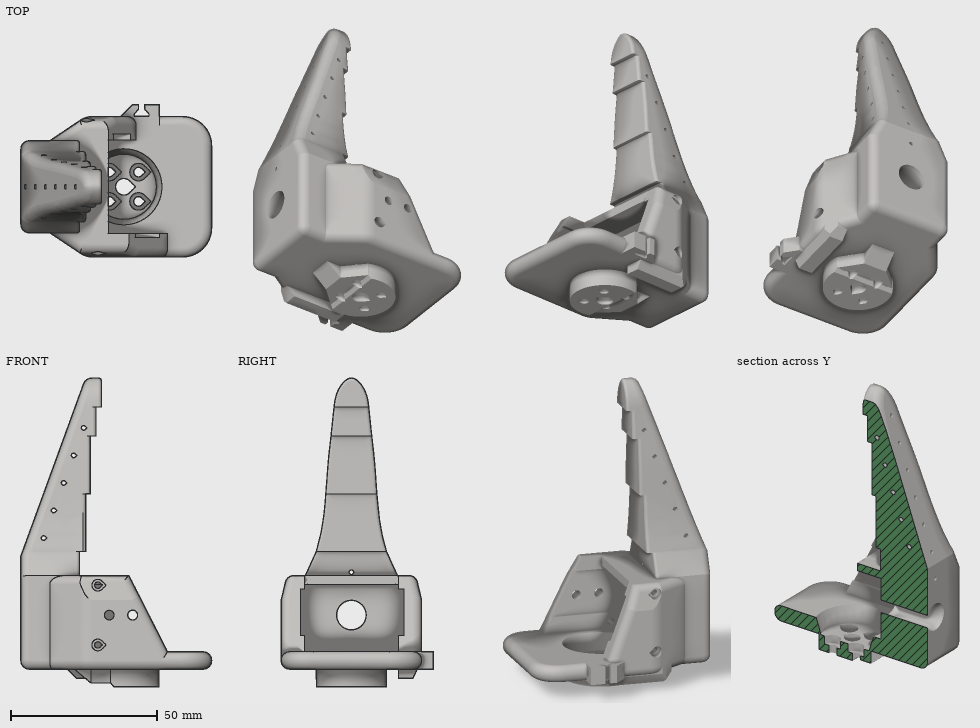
import cadquery as cq
import math

OVERLAP = 1.0
NEAR = 0.1
MIN_RISE = 0.5

LENGTH = 65.2
HALF_WIDTH = 24.0
PLATE_T = 6.0
ROOF_Z = 32.0
EDGE_R = 3.0
BULLNOSE_R = EDGE_R - 0.01
CORNER_R = 10.0
FLARE_R = 7.5
FLARE_START_X = 10.3
FLARE_START_Y = 16.0
FLARE_END_X = 22.3
LEAN_Z = 23.6
LEAN_INSET = 2.0
WALL_EDGE_R = EDGE_R

CAVITY_HALF = 16.0
CAVITY_X = 20.0
ROOF_T = 3.0
ROOF_END_X = 29.9
NEAR_SLOPE_TOP_X = 36.9
NEAR_SLOPE_FOOT_X = 50.1
FAR_SLOPE_FOOT_X = 39.4

TOWER_HALF = 15.75
TOWER_TOP_Z = 99.43
NECK_HALF = 12.0
NECK_Z = 40.2
TAPER_POINTS = [(9.5, 51.8), (7.95, 70.8), (6.1, 87.9), (4.4, 95.5)]
SLANT_START_Z = 38.6
SLANT_ANGLE = 20.0
STEP_Z = [NECK_Z, 59.9, 79.6, 89.5]
STEP_X = [20.1, 22.2, 23.75, 25.7, 27.6]
BACK_R = 1.0

BORE_D = 10.0
AXIS_Z = 18.5
SMALL_R = 0.75
GUIDE_Z = 33.1
HOLE_PITCH = 10.0
CROSS_COUNT = 5
CROSS_X, CROSS_Z = 7.8, 44.8
FACE_COUNT = 6
FACE_Z = 42.8
FACE_DEPTH = 5.0

SCREW_SPACING = 20.4
NEAR_SCREW_X = 26.3
FAR_SCREW_X = 22.4
SCREW_R, SCREW_HEAD_R = 1.1, 2.0
HEAD_SEAT_Y = 21.0
WALL_HOLE_R = 1.65
WALL_HOLE_XS = (30.2, 38.2)
POCKET_Z0, POCKET_Z1 = 11.5, 27.4
NEAR_POCKET_END_X, NEAR_POCKET_DEPTH = 47.3, 1.3
FAR_POCKET_END_X, FAR_POCKET_DEPTH = 38.0, 2.0

HUB_X, HUB_R = 35.2, 12.0
HUB_BOTTOM_Z = -6.0
RECESS_TOP_R, RECESS_FLOOR_R = 13.0, 11.1
HUB_CENTRE_R = 2.8
BOLT_OFFSET = 5.0
BOLT_R, BOLT_HEAD_R, BOLT_HEAD_DEPTH = 1.6, 3.0, 3.0
HOUSING_Z = -4.7
HOUSING_X = 23.9
HOUSING_FACET_HALF = 4.3
HOUSING_FACET_RUN = 6.8
RAMP_X = 18.4
HUB_CUT_X = 31.8

CLIP_Y = 28.0
CLIP_X0, CLIP_X1 = 34.1, 47.3
CLIP_INNER_Y = 20.8
SLOT_X = 41.25
NECK_W, SLOT_W = 1.0, 2.45
SLOT_FLOOR_Y, SLOT_SHOULDER_Y, SLOT_NECK_Y = 24.1, 24.9, 26.5
RIB_Z = -3.1
RIB_X0, RIB_RAMP_X, RIB_X1 = 15.9, 19.0, FAR_SLOPE_FOOT_X
RIB_Y0, RIB_Y1, RIB_Y1_LOW = 16.0, 22.5, 21.0


def xz_prism(points, y0, y1):
    """Polygon of (x, z) points extruded from y0 to y1."""
    return cq.Workplane("XZ", origin=(0, y0, 0)).polyline(points).close().extrude(-(y1 - y0))


def box(x0, x1, y0, y1, z0, z1):
    return cq.Workplane("XY").box(x1 - x0, y1 - y0, z1 - z0, centered=False).translate((x0, y0, z0))


def teardrop(plane, radius, depth):
    """Cylinder with a 45 degree peak along the local x of the plane."""
    half = radius * math.sqrt(0.5)
    return (
        plane.moveTo(half, half)
        .threePointArc((-radius, 0), (half, -half))
        .lineTo(radius * math.sqrt(2), 0)
        .close()
        .extrude(depth)
    )


def plan_block(height):
    """Plan outline without the tower, extruded up from the bottom face."""
    flare_slope = (HALF_WIDTH - FLARE_START_Y) / (FLARE_END_X - FLARE_START_X)
    start_y = FLARE_START_Y - flare_slope * (FLARE_START_X - EDGE_R)
    right = [(EDGE_R, -start_y), (FLARE_END_X, -HALF_WIDTH), (LENGTH, -HALF_WIDTH)]
    left = [(x, -y) for x, y in reversed(right)]
    block = cq.Workplane("XY").polyline(right + left).close().extrude(height)
    for x, radius in ((FLARE_END_X, FLARE_R), (LENGTH, CORNER_R)):
        near_x = cq.selectors.BoxSelector(
            (x - NEAR, -HALF_WIDTH - NEAR, 0), (x + NEAR, HALF_WIDTH + NEAR, height)
        )
        block = block.edges("|Z").edges(near_x).fillet(radius)
    return block


def round_bottom(body):
    """Round the bottom rim, except where it is buried in the tower."""
    return body.faces("<Z").edges("not <X").fillet(BULLNOSE_R)


def make_plate():
    """Base plate with a full round rim."""
    return round_bottom(plan_block(PLATE_T)).faces(">Z").edges("not <X").fillet(BULLNOSE_R)


def make_wall(side, slope_top_x, slope_foot_x):
    """Half of the roofed body on one side, cut by its sloping end."""
    slope = (slope_foot_x - slope_top_x) / (ROOF_Z - PLATE_T)
    end_x = slope_foot_x + slope * PLATE_T
    profile = [
        (EDGE_R, 0),
        (end_x, 0),
        (slope_top_x, ROOF_Z),
        (EDGE_R, ROOF_Z),
    ]
    y0, y1 = sorted((0, side * (HALF_WIDTH + OVERLAP)))
    wall = plan_block(ROOF_Z).intersect(xz_prism(profile, y0, y1))
    lean = [
        (side * HALF_WIDTH, LEAN_Z),
        (side * (HALF_WIDTH - LEAN_INSET), ROOF_Z),
        (side * (HALF_WIDTH + OVERLAP), ROOF_Z),
        (side * (HALF_WIDTH + OVERLAP), LEAN_Z),
    ]
    wall = wall.cut(cq.Workplane("YZ").polyline(lean).close().extrude(LENGTH))
    y0, y1 = sorted((side * FLARE_START_Y, side * (HALF_WIDTH + OVERLAP)))
    top = cq.selectors.BoxSelector(
        (EDGE_R + NEAR, y0, ROOF_Z - NEAR), (slope_top_x - NEAR, y1, ROOF_Z + NEAR)
    )
    slope_edges = cq.selectors.BoxSelector(
        (slope_top_x + NEAR, y0, NEAR), (end_x - NEAR, y1, ROOF_Z - NEAR)
    )
    wall = wall.edges(top + slope_edges).fillet(WALL_EDGE_R)
    return wall.intersect(round_bottom(plan_block(ROOF_Z)))


def make_tower():
    """Tapering tower with a slanted front and a stepped back."""
    taper = TAPER_POINTS + [(0, TOWER_TOP_Z)]
    taper += [(-y, z) for y, z in reversed(TAPER_POINTS)]
    front = (
        cq.Workplane("YZ")
        .moveTo(-TOWER_HALF, 0)
        .lineTo(TOWER_HALF, 0)
        .lineTo(TOWER_HALF, ROOF_Z)
        .lineTo(NECK_HALF, NECK_Z)
        .spline(taper + [(-NECK_HALF, NECK_Z)], includeCurrent=True)
        .lineTo(-TOWER_HALF, ROOF_Z)
        .close()
        .extrude(STEP_X[-1])
    )
    rise = TOWER_TOP_Z - SLANT_START_Z
    profile = [(rise * math.tan(math.radians(SLANT_ANGLE)), TOWER_TOP_Z), (0, SLANT_START_Z), (0, 0)]
    levels = list(zip(STEP_X, [0] + STEP_Z, STEP_Z + [TOWER_TOP_Z]))
    for x, z0, z1 in levels:
        profile += [(x, z0), (x, z1)]
    tower = front.intersect(xz_prism(profile, -HALF_WIDTH, HALF_WIDTH))
    slanted = [face for face in tower.faces().vals() if face.normalAt().x < -0.5]
    front_edges = [
        edge
        for face in slanted
        for edge in face.Edges()
        if edge.BoundingBox().zlen > MIN_RISE
    ]
    tower = tower.newObject(front_edges).fillet(EDGE_R)
    for x, z0, z1 in reversed(levels):
        level = cq.selectors.BoxSelector(
            (x - NEAR, -TOWER_HALF - OVERLAP, z0 + NEAR), (x + NEAR, TOWER_HALF + OVERLAP, z1 + NEAR)
        )
        level_edges = [
            edge
            for edge in tower.edges(level).vals()
            if edge.BoundingBox().zlen > MIN_RISE
        ]
        tower = tower.newObject(level_edges).fillet(BACK_R)
    return tower.faces("<Z").edges("not >X").fillet(BULLNOSE_R)


def tower_holes():
    """Bore and guide hole along X, cross holes along Y, blind holes into the slanted face."""
    bore = cq.Workplane("YZ", origin=(0, 0, AXIS_Z)).circle(BORE_D / 2).extrude(CAVITY_X + OVERLAP)
    guide = cq.Workplane("YZ", origin=(0, 0, GUIDE_Z)).circle(SMALL_R).extrude(STEP_X[0] + OVERLAP)
    holes = bore.union(guide)
    angle = math.radians(SLANT_ANGLE)
    step_x = HOLE_PITCH * math.sin(angle)
    step_z = HOLE_PITCH * math.cos(angle)
    for i in range(CROSS_COUNT):
        start = (CROSS_X + i * step_x, -TOWER_HALF, CROSS_Z + i * step_z)
        plane = cq.Plane(origin=start, xDir=(1, 0, 0), normal=(0, 1, 0))
        holes = holes.union(teardrop(cq.Workplane(plane), SMALL_R, 2 * TOWER_HALF))
    inward = (math.cos(angle), 0, -math.sin(angle))
    for i in range(FACE_COUNT):
        z = FACE_Z + i * step_z
        start = ((z - SLANT_START_Z) * math.tan(angle), 0, z)
        plane = cq.Plane(origin=start, xDir=(0, 1, 0), normal=inward)
        holes = holes.union(cq.Workplane(plane).circle(SMALL_R).extrude(FACE_DEPTH))
    return holes


def cavity():
    """Space between the walls, roofed up to the roof end and open beyond it."""
    roofed = box(CAVITY_X, LENGTH, -CAVITY_HALF, CAVITY_HALF, PLATE_T, ROOF_Z - ROOF_T)
    return roofed.union(box(ROOF_END_X, LENGTH, -CAVITY_HALF, CAVITY_HALF, PLATE_T, ROOF_Z + OVERLAP))


def wall_screws(side, x):
    """Counterbored teardrop screw holes through one wall."""
    holes = cq.Workplane("XY")
    for z in (AXIS_Z - SCREW_SPACING / 2, AXIS_Z + SCREW_SPACING / 2):
        for radius, start_y in ((SCREW_R, CAVITY_HALF - OVERLAP), (SCREW_HEAD_R, HEAD_SEAT_Y)):
            plane = cq.Plane(origin=(x, side * start_y, z), xDir=(1, 0, 0), normal=(0, side, 0))
            holes = holes.union(teardrop(cq.Workplane(plane), radius, HALF_WIDTH + OVERLAP - start_y))
    return holes


def wall_pockets():
    """Shallow recesses in the inner wall faces, opening onto the slopes."""
    near = box(CAVITY_X, NEAR_POCKET_END_X, -CAVITY_HALF - NEAR_POCKET_DEPTH, 0, POCKET_Z0, POCKET_Z1)
    far = box(CAVITY_X, FAR_POCKET_END_X, 0, CAVITY_HALF + FAR_POCKET_DEPTH, POCKET_Z0, POCKET_Z1)
    return near.union(far)


def wall_cross_holes():
    """Round holes through the -Y wall."""
    return (
        cq.Workplane("XZ", origin=(0, -CAVITY_HALF + OVERLAP, AXIS_Z))
        .pushPoints([(x, 0) for x in WALL_HOLE_XS])
        .circle(WALL_HOLE_R)
        .extrude(HALF_WIDTH)
    )


def make_hub():
    """Round boss below the plate with a faceted housing and a ramp beside it."""
    facet_x = HOUSING_X + HOUSING_FACET_RUN
    facet_y = HOUSING_FACET_HALF + HOUSING_FACET_RUN
    boss = cq.Workplane("XY", origin=(HUB_X, 0, HUB_BOTTOM_Z)).circle(HUB_R).extrude(-HUB_BOTTOM_Z + OVERLAP)
    undercut = [
        (0, 0),
        (facet_x, 0),
        (facet_x, HOUSING_Z),
        (HUB_CUT_X, HUB_BOTTOM_Z),
        (0, HUB_BOTTOM_Z),
    ]
    boss = boss.cut(xz_prism(undercut, -HALF_WIDTH, HALF_WIDTH))
    plan = [
        (HOUSING_X, -HOUSING_FACET_HALF),
        (facet_x, -facet_y),
        (HUB_X, -facet_y),
        (HUB_X, facet_y),
        (facet_x, facet_y),
        (HOUSING_X, HOUSING_FACET_HALF),
    ]
    housing = (
        cq.Workplane("XY", origin=(0, 0, HOUSING_Z)).polyline(plan).close().extrude(-HOUSING_Z + OVERLAP)
    )
    ramp_side = [
        (RAMP_X, 0),
        (HOUSING_X, HOUSING_Z),
        (HUB_X, HOUSING_Z),
        (HUB_X, OVERLAP),
        (RAMP_X, OVERLAP),
    ]
    ramp = xz_prism(ramp_side, -HOUSING_FACET_HALF, HOUSING_FACET_HALF)
    return boss.union(housing).union(ramp)


def hub_openings():
    """Flared recess in the plate, with bolt holes and a centre hole in its floor."""
    recess = (
        cq.Workplane("XY", origin=(HUB_X, 0, 0))
        .circle(RECESS_FLOOR_R)
        .workplane(offset=PLATE_T)
        .circle(RECESS_TOP_R)
        .loft()
    )
    depth = -HUB_BOTTOM_Z + OVERLAP
    centre = cq.Workplane("XY", origin=(HUB_X, 0, -depth))
    openings = recess.union(teardrop(centre, HUB_CENTRE_R, depth))
    for dx in (-BOLT_OFFSET, BOLT_OFFSET):
        for y in (-BOLT_OFFSET, BOLT_OFFSET):
            shank = cq.Workplane("XY", origin=(HUB_X + dx, y, -depth))
            head = cq.Workplane("XY", origin=(HUB_X + dx, y, -BOLT_HEAD_DEPTH))
            openings = openings.union(teardrop(shank, BOLT_R, depth))
            openings = openings.union(teardrop(head, BOLT_HEAD_R, BOLT_HEAD_DEPTH))
    return openings


def make_clip():
    """Square-edged lug beyond the +Y edge, slotted for a cord, with a rib below."""
    lug_reach = CLIP_Y - HALF_WIDTH
    outline = [
        (CLIP_X0, CLIP_INNER_Y),
        (CLIP_X0, HALF_WIDTH),
        (CLIP_X0 + lug_reach, CLIP_Y),
        (CLIP_X1, CLIP_Y),
        (CLIP_X1, CLIP_INNER_Y),
    ]
    lug = cq.Workplane("XY").polyline(outline).close().extrude(PLATE_T)
    half_slot = [
        (SLOT_W, SLOT_FLOOR_Y),
        (SLOT_W, SLOT_SHOULDER_Y),
        (NECK_W, SLOT_NECK_Y),
        (NECK_W, CLIP_Y + OVERLAP),
    ]
    slot = [(SLOT_X + dx, y) for dx, y in half_slot]
    slot += [(SLOT_X - dx, y) for dx, y in reversed(half_slot)]
    lug = lug.cut(cq.Workplane("XY").polyline(slot).close().extrude(PLATE_T))
    rib_top = EDGE_R
    rib_side = [
        (RIB_X0, 0),
        (RIB_RAMP_X, RIB_Z),
        (RIB_X1, RIB_Z),
        (RIB_X1, rib_top),
        (RIB_X0, rib_top),
    ]
    rib_end = [
        (RIB_Y0, RIB_Z),
        (RIB_Y1_LOW, RIB_Z),
        (RIB_Y1, 0),
        (RIB_Y1, rib_top),
        (RIB_Y0, rib_top),
    ]
    rib = xz_prism(rib_side, 0, HALF_WIDTH)
    rib = rib.intersect(cq.Workplane("YZ").polyline(rib_end).close().extrude(LENGTH))
    rib = rib.intersect(plan_block(PLATE_T).translate((0, 0, RIB_Z)))
    return lug.union(rib)


body = make_wall(-1, NEAR_SLOPE_TOP_X, NEAR_SLOPE_FOOT_X)
body = body.union(make_wall(1, ROOF_END_X, FAR_SLOPE_FOOT_X))
body = body.union(make_tower()).union(make_plate())
body = body.cut(cavity()).cut(tower_holes())
body = body.cut(wall_screws(-1, NEAR_SCREW_X)).cut(wall_screws(1, FAR_SCREW_X))
body = body.cut(wall_pockets()).cut(wall_cross_holes())
body = body.union(make_hub()).union(make_clip())
result = body.cut(hub_openings())